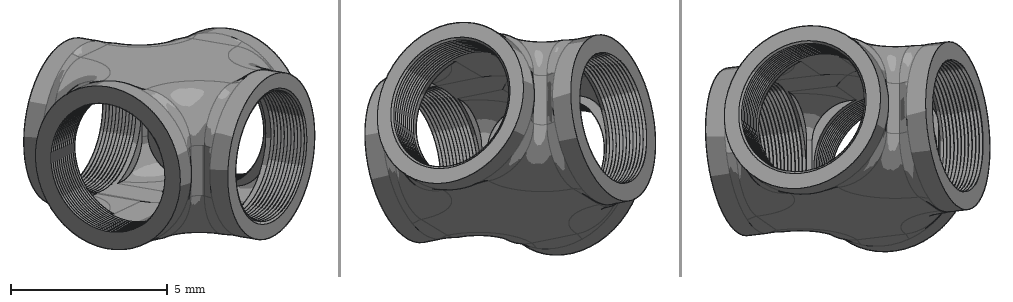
import cadquery as cq
import math

span = 7.62
arm_reach = span / 2

collar_radius = 2.705
collar_length = 0.67
neck_length = 0.33
neck_steps = 4
collar_inner = arm_reach - collar_length
neck_inner = collar_inner - neck_length

body_half_width = 2.5
flat_half_width = 0.84
wall = 0.48
chamber_reach = 2.325
selection_margin = 0.08

bore_radius = 2.125
thread_length = 1.37
groove_count = 11
pitch = thread_length / groove_count
flank_angle = 60.0
groove_depth = pitch / 2 * math.tan(math.radians(flank_angle))
x_first_crest = 0.045
y_first_crest = 0.0


def rounded_cross(half_width, reach):
    """Cross with rounded long edges; the corner arcs are centred at (neck_inner, neck_inner)."""
    corner_radius = neck_inner - half_width
    edge_radius = half_width - flat_half_width
    height = 2 * half_width
    along_x = cq.Workplane("XY").box(span, height, height)
    along_y = cq.Workplane("XY").box(height, span, height)
    cross = along_x.union(along_y)
    limit = half_width + selection_margin
    inner_corners = cq.selectors.BoxSelector((-limit, -limit, -limit), (limit, limit, limit))
    cross = cross.edges("|Z").edges(inner_corners).fillet(corner_radius)
    cross = cross.faces("<Z or >Z").edges("not(<X or >X or <Y or >Y)").fillet(edge_radius)
    return cross.intersect(cq.Workplane("XY").box(2 * reach, 2 * reach, height))


def turned_to_arm(shape, arm):
    """Turn a shape made for the +X arm onto arm number 0 to 3, counted from +X towards +Y."""
    return shape.rotate((0, 0, 0), (0, 0, 1), 90 * arm)


def neck_section(blend):
    """Closed outline across the neck: the body's rounded square at blend 0, the collar circle at blend 1.

    Four sides and four corner arcs keep the same order in every section, so they loft side to side.
    """

    def mix(at_body, at_collar):
        ease = blend**2 * (3 - 2 * blend)
        return at_body + (at_collar - at_body) * ease

    diagonal = math.sqrt(0.5)
    edge_radius = body_half_width - flat_half_width
    side_middle = mix(body_half_width, collar_radius)
    side_end = mix(body_half_width, math.sqrt(collar_radius**2 - flat_half_width**2))
    corner_middle = mix(flat_half_width + edge_radius * diagonal, collar_radius * diagonal)
    x = neck_inner + neck_length * blend

    outline = cq.Workplane("YZ").workplane(offset=x).moveTo(side_end, -flat_half_width)
    for cosine, sine in [(1, 0), (0, 1), (-1, 0), (0, -1)]:

        def turned(u, v):
            return (cosine * u - sine * v, sine * u + cosine * v)

        if blend == 0:
            outline = outline.lineTo(*turned(side_end, flat_half_width))
        else:
            outline = outline.threePointArc(turned(side_middle, 0), turned(side_end, flat_half_width))
        outline = outline.threePointArc(
            turned(corner_middle, corner_middle), turned(flat_half_width, side_end)
        )
    return outline.wire().val()


def neck_and_collar():
    """Neck from the body's rounded square to the round collar, and the collar, for the +X arm."""
    sections = [neck_section(i / neck_steps) for i in range(neck_steps + 1)]
    neck = cq.Workplane(cq.Solid.makeLoft(sections))
    collar = cq.Workplane("YZ").workplane(offset=collar_inner).circle(collar_radius).extrude(collar_length)
    return neck.union(collar)


def threaded_bore(first_crest, grooves):
    """Bore along the +X arm from the centre out, with V grooves up to and past the end face."""
    start = arm_reach - first_crest - grooves * pitch
    profile = cq.Workplane("XY").lineTo(0, bore_radius).lineTo(start, bore_radius)
    for i in range(grooves + 1):
        x = start + i * pitch
        profile = profile.lineTo(x + pitch / 2, bore_radius + groove_depth)
        profile = profile.lineTo(x + pitch, bore_radius)
    profile = profile.lineTo(start + (grooves + 1) * pitch, 0).close()
    tool = profile.revolve(360, (0, 0, 0), (1, 0, 0))
    keep = cq.Workplane("XY").box(arm_reach, span, span).translate((arm_reach / 2, 0, 0))
    return tool.intersect(keep)


body = rounded_cross(body_half_width, neck_inner)
arm_end = neck_and_collar()
for arm in range(4):
    body = body.union(turned_to_arm(arm_end, arm))

body = body.cut(rounded_cross(body_half_width - wall, chamber_reach))
x_bore = threaded_bore(x_first_crest, groove_count - 1)
y_bore = threaded_bore(y_first_crest, groove_count)
for arm, bore in enumerate([x_bore, y_bore, x_bore, y_bore]):
    body = body.cut(turned_to_arm(bore, arm))

result = body